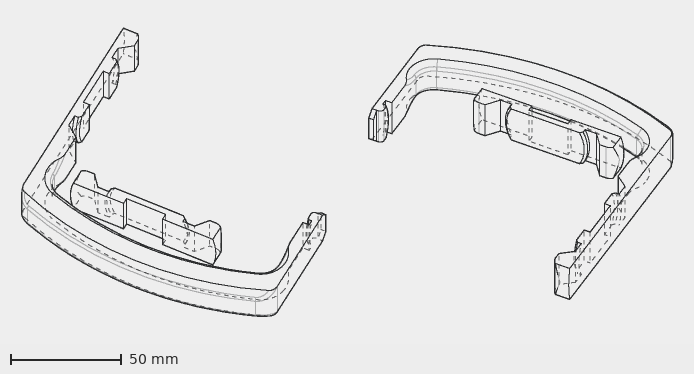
import cadquery as cq
import math

HEIGHT = 19.0
WIDTH = 128.7
TALL_ARM_END = 119.9
HALF_HEIGHT = HEIGHT / 2

MID_X = WIDTH / 2
BOW_RADIUS = 167.3
BAR_DEPTH = 15.5
INNER_BOW_RADIUS = BOW_RADIUS - BAR_DEPTH
OUTER_CORNER_RADIUS = 9.9
INNER_CORNER_RADIUS = 9.3
BEVEL = 3.3
BEVEL_BLEND_RADIUS = 2.7

PAD_THICKNESS = 9.0
RIDGE_THICKNESS = 6.0
PLATE_THICKNESS = RIDGE_THICKNESS / 2
PATTERN_HALF_LENGTH = 36.9
RAMP_TOP = 29.2
RAMP_FOOT = 24.5
RIDGE_END = 21.0
RIDGE_GAP_HALF = 9.9
PAD_CORNER_RADIUS = 4.6
ARM_END_BULGE = 1.0
CLASP_END_BULGE = 1.5
RIDGE_BULGE = 2.3
RIDGE_CHAMFER = 1.2
PATTERN_MID_Y = TALL_ARM_END - PATTERN_HALF_LENGTH

SHORT_WALL = 6.2
SHORT_WALL_END = 57.1
TONGUE_THICKNESS = 2.5
TONGUE_END = 68.0
CATCH_THICKNESS = 5.1
CATCH_START = 57.5
CATCH_END = 64.7
CATCH_CORNER_RADIUS = 1.8
CATCH_BULGE = 2.2
CATCH_CHAMFER = 0.8
TONGUE_CHAMFER = TONGUE_END - CATCH_END

CLASP_MID_X = 55.2
CLASP_BACK_Y = 30.0


def chord_depth(radius, half_chord):
    """Distance from an arc's centre to its chord."""
    return math.sqrt(radius**2 - half_chord**2)


def plan_solid(outline):
    """Extrude a closed plan outline over the full height, centred on Z = 0."""
    return outline.extrude(HALF_HEIGHT, both=True)


def bulged_block(start, end, depth, start_bulge, end_bulge):
    """Full-height block along X and `depth` along Y; each end bows outward by its bulge at mid height."""
    low = start + start_bulge
    high = end - end_bulge
    outline = cq.Workplane("XZ").moveTo(low, -HALF_HEIGHT).lineTo(high, -HALF_HEIGHT)
    if end_bulge:
        outline = outline.threePointArc((end, 0), (high, HALF_HEIGHT))
    else:
        outline = outline.lineTo(high, HALF_HEIGHT)
    outline = outline.lineTo(low, HALF_HEIGHT)
    if start_bulge:
        outline = outline.threePointArc((start, 0), (low, -HALF_HEIGHT))
    return outline.close().extrude(-depth)


def ridge():
    """Snap ridge on the +X half of the pattern, with a bowed and chamfered outer end."""
    block = bulged_block(RIDGE_GAP_HALF, RIDGE_END, RIDGE_THICKNESS, 0, RIDGE_BULGE)
    return block.edges(">Y").edges(">X").chamfer(RIDGE_CHAMFER)


def bevelled_round(center, radius, side, start_angle=0.0, turn=360.0):
    """Round block whose rim narrows (side -1) or flares (side +1) to top and bottom by a 45 degree bevel."""
    upper_half = (
        cq.Workplane("XZ")
        .lineTo(radius, 0)
        .lineTo(radius, HALF_HEIGHT - BEVEL)
        .lineTo(radius + side * BEVEL, HALF_HEIGHT)
        .lineTo(0, HALF_HEIGHT)
        .close()
        .revolve(turn, (0, 0), (0, 1))
    )
    block = upper_half.union(upper_half.mirror("XY"))
    return block.rotate((0, 0, 0), (0, 0, 1), start_angle).translate((*center, 0))


def snap_strip(end_bulge):
    """Plate along X with a ramped pad at each end, bowed ends and two snap ridges on its +Y side."""
    outline = (
        cq.Workplane("XY")
        .moveTo(-PATTERN_HALF_LENGTH, 0)
        .lineTo(PATTERN_HALF_LENGTH, 0)
        .lineTo(PATTERN_HALF_LENGTH, PAD_THICKNESS)
        .lineTo(RAMP_TOP, PAD_THICKNESS)
        .lineTo(RAMP_FOOT, PLATE_THICKNESS)
        .lineTo(-RAMP_FOOT, PLATE_THICKNESS)
        .lineTo(-RAMP_TOP, PAD_THICKNESS)
        .lineTo(-PATTERN_HALF_LENGTH, PAD_THICKNESS)
        .close()
    )
    strip = plan_solid(outline)
    strip = strip.edges("|Z and >Y").edges("<X or >X").fillet(PAD_CORNER_RADIUS)
    bowed_ends = bulged_block(
        -PATTERN_HALF_LENGTH, PATTERN_HALF_LENGTH, PAD_THICKNESS, end_bulge, end_bulge
    )
    return strip.intersect(bowed_ends).union(ridge()).union(ridge().mirror("YZ"))


def bowed_band():
    """Front bar with its two square-ended arms, before the snap details."""
    bow_center = (MID_X, BOW_RADIUS)
    left_wall = PAD_THICKNESS
    right_wall = WIDTH - SHORT_WALL
    left_arm_end = PATTERN_MID_Y - RAMP_TOP
    outer_corner_y = BOW_RADIUS - chord_depth(BOW_RADIUS, MID_X)
    inner_left_y = BOW_RADIUS - chord_depth(INNER_BOW_RADIUS, MID_X - left_wall)
    inner_right_y = BOW_RADIUS - chord_depth(INNER_BOW_RADIUS, right_wall - MID_X)
    outline = (
        cq.Workplane("XY")
        .moveTo(0, left_arm_end)
        .lineTo(0, outer_corner_y)
        .threePointArc((MID_X, 0), (WIDTH, outer_corner_y))
        .lineTo(WIDTH, SHORT_WALL_END)
        .lineTo(right_wall, SHORT_WALL_END)
        .lineTo(right_wall, inner_right_y)
        .threePointArc((MID_X, BAR_DEPTH), (left_wall, inner_left_y))
        .lineTo(left_wall, left_arm_end)
        .close()
    )
    band = plan_solid(outline)
    for corner in ((0, outer_corner_y, 0), (WIDTH, outer_corner_y, 0)):
        band = band.edges(cq.NearestToPointSelector(corner)).fillet(OUTER_CORNER_RADIUS)
    for corner in ((left_wall, inner_left_y, 0), (right_wall, inner_right_y, 0)):
        band = band.edges(cq.NearestToPointSelector(corner)).fillet(INNER_CORNER_RADIUS)

    band = band.intersect(bevelled_round(bow_center, BOW_RADIUS, -1))

    corner_distance = INNER_BOW_RADIUS - INNER_CORNER_RADIUS
    left_offset = MID_X - left_wall - INNER_CORNER_RADIUS
    right_offset = right_wall - INNER_CORNER_RADIUS - MID_X
    left_angle = math.degrees(math.asin(left_offset / corner_distance))
    right_angle = math.degrees(math.asin(right_offset / corner_distance))
    toward_front = 270.0
    band = band.cut(
        bevelled_round(bow_center, INNER_BOW_RADIUS, 1, toward_front - left_angle, left_angle + right_angle)
    )
    for offset in (-left_offset, right_offset):
        corner_center = (MID_X + offset, BOW_RADIUS - chord_depth(corner_distance, offset))
        band = band.cut(bevelled_round(corner_center, INNER_CORNER_RADIUS, 1))

    for apex_y in (0, BAR_DEPTH):
        for level in (HALF_HEIGHT - BEVEL, BEVEL - HALF_HEIGHT):
            bow_edge = cq.NearestToPointSelector((MID_X, apex_y, level))
            band = band.edges(bow_edge).fillet(BEVEL_BLEND_RADIUS)
    return band


def short_arm_catch():
    """Tongue with a chamfered tip and a catch nose, laid along +X with the tongue's back on Y = 0."""
    tongue = bulged_block(SHORT_WALL_END, TONGUE_END, TONGUE_THICKNESS, 0, 0)
    tongue = tongue.faces(">X").edges("|Y").chamfer(TONGUE_CHAMFER)
    groove_floor = bulged_block(SHORT_WALL_END, CATCH_END, PLATE_THICKNESS, 0, 0)
    nose = bulged_block(CATCH_START, CATCH_END, CATCH_THICKNESS, CATCH_BULGE, 0)
    nose = nose.edges(">Y").edges(">X").fillet(CATCH_CORNER_RADIUS)
    nose = nose.edges(">Y").edges("<X").chamfer(CATCH_CHAMFER)
    return tongue.union(groove_floor).union(nose)


def make_bracket():
    """Bowed bracket with the snap strip on its tall arm and the catch on its short arm."""
    tall_arm = snap_strip(ARM_END_BULGE).rotate((0, 0, 0), (0, 0, 1), -90)
    tall_arm = tall_arm.translate((0, PATTERN_MID_Y, 0))
    catch = short_arm_catch().rotate((0, 0, 0), (0, 0, 1), 90).translate((WIDTH, 0, 0))
    return bowed_band().union(tall_arm).union(catch)


def make_clasp():
    """Loose snap strip, filled between its ridges and channelled across its back."""
    web = bulged_block(-RIDGE_GAP_HALF, RIDGE_GAP_HALF, RIDGE_THICKNESS, 0, 0)
    channel = cq.Workplane("XY").box(2 * RIDGE_GAP_HALF, 2 * PLATE_THICKNESS, HEIGHT)
    strip = snap_strip(CLASP_END_BULGE).union(web).cut(channel)
    return strip.translate((CLASP_MID_X, CLASP_BACK_Y, 0))


bracket = make_bracket()
clasp = make_clasp()

result = cq.Compound.makeCompound([bracket.val(), clasp.val()])